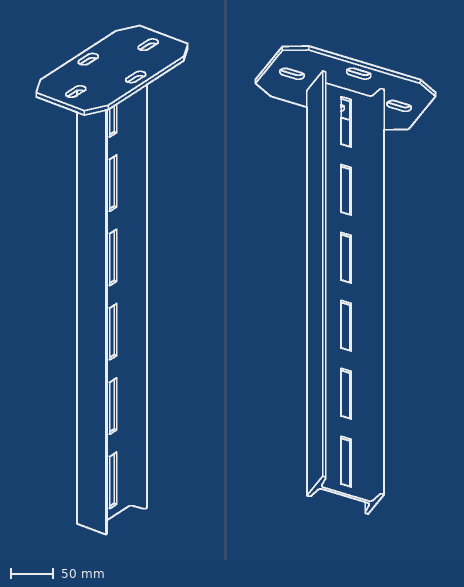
import cadquery as cq

total_height = 602.5

plate_width = 100.0
plate_length = 200.0
plate_thickness = 6.0
corner_cut_x = 14.5
corner_cut_y = 27.0
plate_slot_length = 30.0
plate_slot_width = 13.0
side_slot_offset = 35.0
end_slot_offset = 70.0

post_height = total_height - plate_thickness
flange_breadth = 42.0
post_width = 80.0
web_thickness = 3.9
flange_thickness = 6.0
flange_slope = 0.14
root_radius = 3.9
tip_radius = 2.3

web_slot_count = 6
web_slot_pitch = 100.0
web_slot_length = 70.0
web_slot_width = 13.0


def make_plate():
    """Flat plate with four cut corners and four slots, all running along Y."""
    half_width = plate_width / 2
    half_length = plate_length / 2
    cut_x = half_width - corner_cut_x
    cut_y = half_length - corner_cut_y
    outline = [
        (half_width, cut_y),
        (cut_x, half_length),
        (-cut_x, half_length),
        (-half_width, cut_y),
        (-half_width, -cut_y),
        (-cut_x, -half_length),
        (cut_x, -half_length),
        (half_width, -cut_y),
    ]
    slot_centers = [
        (side_slot_offset, 0),
        (-side_slot_offset, 0),
        (0, end_slot_offset),
        (0, -end_slot_offset),
    ]
    blank = cq.Workplane("XY").workplane(offset=post_height).polyline(outline).close().extrude(plate_thickness)
    slots = (
        cq.Workplane("XY")
        .workplane(offset=post_height)
        .pushPoints(slot_centers)
        .slot2D(plate_slot_length, plate_slot_width, 90)
        .extrude(plate_thickness)
    )
    return blank.cut(slots)


def inner_edges(x, y):
    """Selector for the four vertical profile edges at (+-x, +-y)."""
    margin = 0.05
    boxes = [
        cq.selectors.BoxSelector(
            (side_x * x - margin, side_y * y - margin, 0),
            (side_x * x + margin, side_y * y + margin, post_height),
        )
        for side_x in (-1, 1)
        for side_y in (-1, 1)
    ]
    return boxes[0] + boxes[1] + boxes[2] + boxes[3]


def make_beam():
    """I-beam with its web in the YZ plane and its flanges at the Y ends."""
    tip_x = flange_breadth / 2
    root_x = web_thickness / 2
    half_width = post_width / 2
    mid_flange_x = flange_breadth / 4
    tip_y = half_width - flange_thickness + flange_slope * (tip_x - mid_flange_x)
    root_y = half_width - flange_thickness - flange_slope * (mid_flange_x - root_x)
    outline = [
        (tip_x, half_width),
        (tip_x, tip_y),
        (root_x, root_y),
        (root_x, -root_y),
        (tip_x, -tip_y),
        (tip_x, -half_width),
        (-tip_x, -half_width),
        (-tip_x, -tip_y),
        (-root_x, -root_y),
        (-root_x, root_y),
        (-tip_x, tip_y),
        (-tip_x, half_width),
    ]
    beam = cq.Workplane("XY").polyline(outline).close().extrude(post_height)
    beam = beam.edges("|Z").edges(inner_edges(root_x, root_y)).fillet(root_radius)
    return beam.edges("|Z").edges(inner_edges(tip_x, tip_y)).fillet(tip_radius)


def make_web_slots():
    """Row of rectangular cutters through the web, centred on the post height."""
    return (
        cq.Workplane("YZ")
        .center(0, post_height / 2)
        .rarray(6, web_slot_pitch, 1, web_slot_count)
        .rect(web_slot_width, web_slot_length)
        .extrude(web_thickness / 2, both=True)
    )


plate = make_plate()
post = make_beam().cut(make_web_slots())

result = cq.Compound.makeCompound([plate.val(), post.val()])